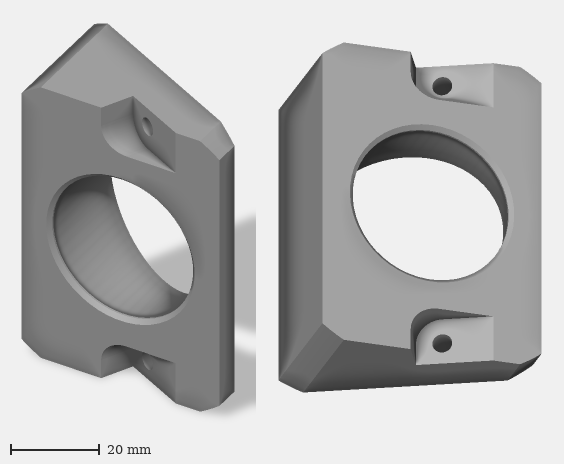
import cadquery as cq
import math

width = 52.0
height = 74.0
max_depth = 32.0
slope_angle = 26.0
corner_diameter = 85.0

bore_diameter = 40.0
lip_diameter = 37.0
lip_thickness = 1.5
lip_chamfer = 1.0

seat_floor_thickness = 11.0
seat_length = 17.6
seat_height = 11.0
seat_corner_radius = 6.0
screw_hole_diameter = 4.5
screw_hole_to_wall = 6.0
screw_hole_to_end = 5.0

slope = math.tan(math.radians(slope_angle))
cos_slope = math.cos(math.radians(slope_angle))
sin_slope = math.sin(math.radians(slope_angle))
min_depth = max_depth - width * slope

floor_front_x = -width / 2 + (max_depth - seat_floor_thickness / cos_slope) / slope
floor_corner_x = floor_front_x - seat_length * cos_slope
floor_corner_y = seat_length * sin_slope


def wedge_block():
    wedge = (
        cq.Workplane("XY")
        .workplane(offset=-height / 2)
        .polyline([
            (-width / 2, 0),
            (width / 2, 0),
            (width / 2, min_depth),
            (-width / 2, max_depth),
        ])
        .close()
        .extrude(height)
    )
    round_stock = cq.Workplane("XZ").circle(corner_diameter / 2).extrude(-max_depth)
    return wedge.intersect(round_stock)


def main_bore():
    lip_opening = cq.Workplane("XZ").circle(lip_diameter / 2).extrude(-max_depth)
    bore = (
        cq.Workplane("XZ", origin=(0, lip_thickness, 0))
        .circle(bore_diameter / 2)
        .extrude(-max_depth)
    )
    chamfer_cone = cq.Workplane("XY").add(
        cq.Solid.makeCone(
            lip_diameter / 2 + lip_chamfer,
            lip_diameter / 2,
            lip_chamfer,
            cq.Vector(0, 0, 0),
            cq.Vector(0, 1, 0),
        )
    )
    return lip_opening.union(bore).union(chamfer_cone)


def upper_screw_seat():
    """Seat pocket and through hole, cut square to the sloped back face."""
    floor = cq.Plane(
        origin=(floor_corner_x, floor_corner_y, height / 2),
        xDir=(cos_slope, -sin_slope, 0),
        normal=(-sin_slope, -cos_slope, 0),
    )
    pocket = (
        cq.Workplane(floor)
        .lineTo(0, -(seat_height - seat_corner_radius))
        .radiusArc((seat_corner_radius, -seat_height), -seat_corner_radius)
        .lineTo(seat_length, -seat_height)
        .lineTo(seat_length, 0)
        .close()
        .extrude(max_depth)
    )
    hole = (
        cq.Workplane(floor)
        .center(screw_hole_to_wall, -screw_hole_to_end)
        .circle(screw_hole_diameter / 2)
        .extrude(-max_depth)
    )
    return pocket.union(hole)


upper_seat = upper_screw_seat()
lower_seat = upper_seat.mirror("XY")

result = wedge_block().cut(main_bore()).cut(upper_seat).cut(lower_seat)